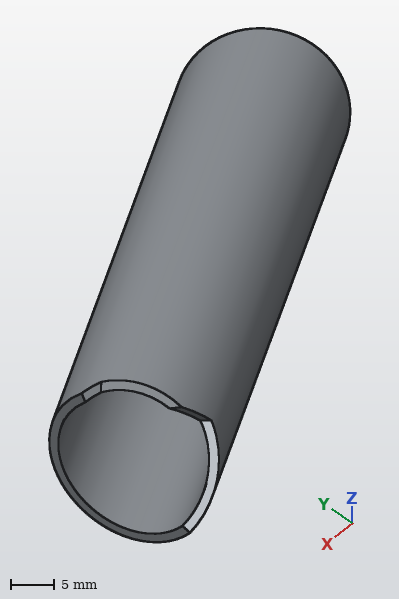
import cadquery as cq
import math

outer_radius = 10.1
wall = 1.1
tube_length = 177.7

lean_x = 31.7
lean_y = -41.2
lean_rise = 100

top_face_x = 0.19
top_face_y = -0.24

mitre_direction = -22.7
mitre_slope = 1.1
mitre_axis_height = 3.8

broad_notch = ((-122, 1.1), (-197, 8.0), (-222, 0.3))
narrow_notch = ((138, 0.3), (80, 5.2), (66, 4.0))

cut_reach = 2 * outer_radius
cut_depth = 8.2

leaning_plane = cq.Plane(
    origin=(0, 0, 0),
    xDir=(-lean_y, lean_x, 0),
    normal=(lean_x, lean_y, lean_rise),
)


def tube():
    """Plain tube along Z, overlong at the top for the slanted end cut."""
    bore_radius = outer_radius - wall
    return cq.Workplane("XY").circle(outer_radius).circle(bore_radius).extrude(tube_length + cut_depth)


def facing_plane(angle):
    """Plane through the tube axis whose normal points outward at the given angle."""
    turn = math.radians(angle)
    return cq.Plane(
        origin=(0, 0, 0),
        xDir=(-math.sin(turn), math.cos(turn), 0),
        normal=(math.cos(turn), math.sin(turn), 0),
    )


def mitre_cutter():
    """Everything below a plane that rises towards the mitre direction."""
    rise = mitre_slope * cut_reach
    profile = [
        (-cut_reach, mitre_axis_height - rise),
        (cut_reach, mitre_axis_height - rise),
        (cut_reach, mitre_axis_height + rise),
    ]
    outline = cq.Workplane(facing_plane(mitre_direction - 90)).polyline(profile).close()
    return outline.extrude(cut_reach, both=True)


def notch_cutter(corners):
    """V prism running from the axis out through one side of the wall."""
    middle = (corners[0][0] + corners[-1][0]) / 2
    points = [
        (outer_radius * math.sin(math.radians(angle - middle)), height)
        for angle, height in corners
    ]
    points.append((points[-1][0], -cut_depth))
    points.append((points[0][0], -cut_depth))
    return cq.Workplane(facing_plane(middle)).polyline(points).close().extrude(cut_reach)


def top_cutter():
    """Block sitting on the slanted top end, where the tube axis reaches its full length."""
    top_plane = cq.Plane(
        origin=leaning_plane.toWorldCoords((0, 0, tube_length)).toTuple(),
        xDir=(-top_face_y, top_face_x, 0),
        normal=(top_face_x, top_face_y, 1),
    )
    return cq.Workplane(top_plane).circle(cut_reach).extrude(cut_reach)


upright = tube().cut(mitre_cutter())
for notch in (broad_notch, narrow_notch):
    upright = upright.cut(notch_cutter(notch))

leaning = cq.Workplane("XY").newObject([upright.val().moved(cq.Location(leaning_plane))])
result = leaning.cut(top_cutter())